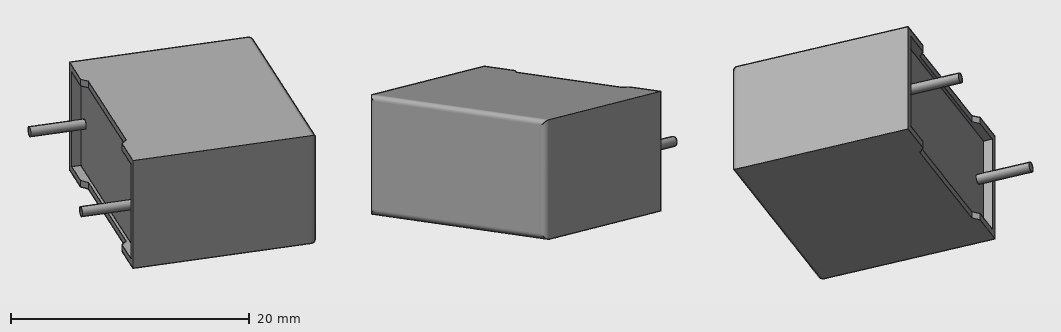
import cadquery as cq

case_width = 18.5
case_height = 10.21
case_depth = 16.08
wall = 0.62
back_wall = 0.62
back_edge_radius = 0.46

notch_depth = 0.52
notch_floor_width = 11.0
notch_mouth_width = notch_floor_width + 2 * notch_depth

potting_recess = 0.8

lead_diameter = 0.86
lead_pitch = 15.0
lead_projection = 4.02
lead_embedding = 2.0

overall_length = case_depth + lead_projection
lead_tip_y = -overall_length / 2
rim_y = lead_tip_y + lead_projection
potting_face_y = rim_y + potting_recess
cavity_end_y = rim_y + case_depth - back_wall
cavity_width = case_width - 2 * wall
cavity_height = case_height - 2 * wall


def block(width, height, start_y, end_y):
    """Box centred on X and Z that runs from start_y to end_y."""
    length = end_y - start_y
    return cq.Workplane("XY").box(width, length, height).translate((0, start_y + length / 2, 0))


def rim_notch():
    """Trapezoidal cutter that crosses both long walls at the rim."""
    return (
        cq.Workplane("XY")
        .workplane(offset=-case_height / 2)
        .moveTo(-notch_mouth_width / 2, rim_y)
        .lineTo(notch_mouth_width / 2, rim_y)
        .lineTo(notch_floor_width / 2, rim_y + notch_depth)
        .lineTo(-notch_floor_width / 2, rim_y + notch_depth)
        .close()
        .extrude(case_height)
    )


def make_case():
    """Open housing with a rounded back and a notched rim."""
    body = block(case_width, case_height, rim_y, rim_y + case_depth)
    body = body.faces(">Y").edges().fillet(back_edge_radius)
    cavity = block(cavity_width, cavity_height, rim_y, cavity_end_y)
    return body.cut(cavity).cut(rim_notch())


def make_lead(x):
    """Straight round wire that starts inside the potting and ends at the tip."""
    length = lead_projection + potting_recess + lead_embedding
    return (
        cq.Workplane("XZ", origin=(x, lead_tip_y, 0))
        .circle(lead_diameter / 2)
        .extrude(-length)
    )


def make_potting(leads):
    """Solid fill of the cavity with a hole for each embedded lead."""
    fill = block(cavity_width, cavity_height, potting_face_y, cavity_end_y)
    for lead in leads:
        fill = fill.cut(lead)
    return fill


leads = [make_lead(side * lead_pitch / 2) for side in (-1, 1)]
case = make_case()
potting = make_potting(leads)

result = cq.Compound.makeCompound([case.val(), potting.val(), *[lead.val() for lead in leads]])